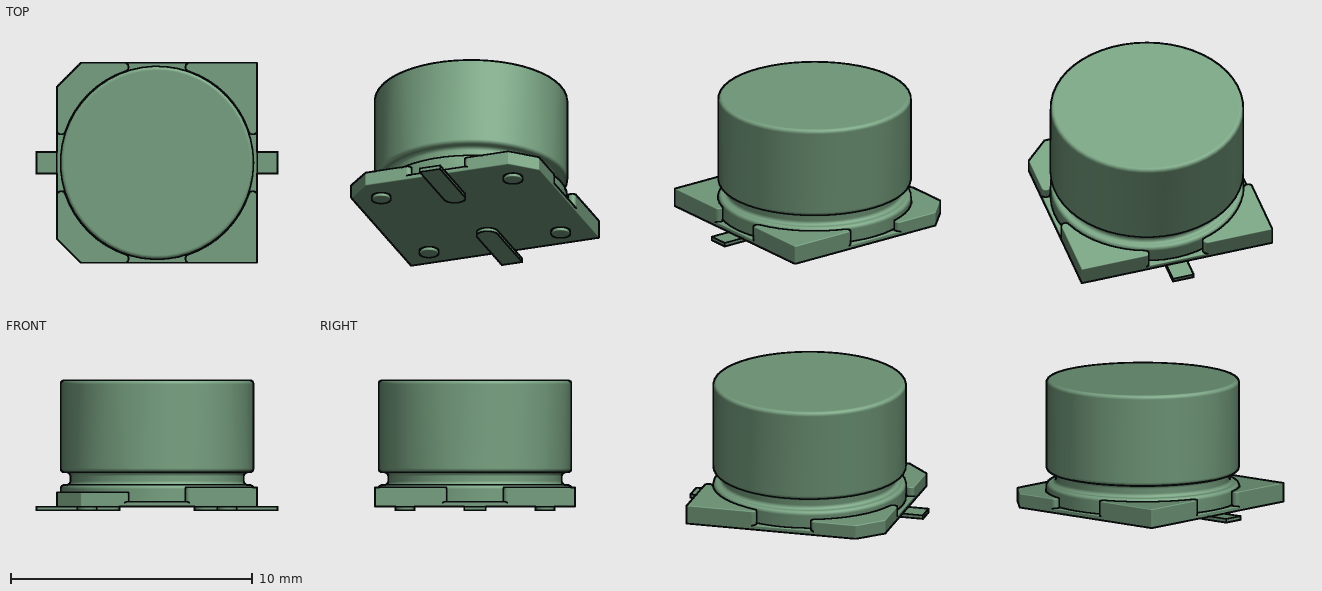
import cadquery as cq

lead_span = 10.0
base_width = 8.3
total_height = 5.4

standoff = 0.16
lead_width = 0.9
lead_inner_end = 1.55
foot_diameter = 0.8
foot_offset = 2.9
foot_edge_radius = 0.03

plate_top = 0.36
low_pad_top = 0.76
high_pad_top = 0.96
corner_cut = 1.0
base_edge_radius = 0.04
pad_gap = 2.36
pad_end_radius = 0.17
pad_tip_radius = 0.15
pad_bore_clearance = 0.02

can_radius = 4.0
neck_radius = 3.6
neck_center_z = 1.32
neck_half_height = 0.1
bend_radius = 0.16


def base_block(top):
    """Square block with the two -X corners cut off and all but its top edges rounded."""
    block = cq.Workplane("XY").workplane(offset=standoff).rect(base_width, base_width)
    block = block.extrude(top - standoff)
    block = block.edges("|Z and <X").chamfer(corner_cut)
    return block.edges("|Z or <Z").fillet(base_edge_radius)


def round_top_edges(body):
    """Round the outline of the highest flat face of a base part."""
    return body.faces(">Z").edges().fillet(base_edge_radius)


def corner_pad(x_side, y_side, top):
    """Corner of the base, bored to clear the can, with rounded tips beside the gaps."""
    length = (base_width - pad_gap) / 2
    center = (base_width + pad_gap) / 4
    bore = cq.Workplane("XY").circle(can_radius + pad_bore_clearance).extrude(total_height)
    zone = (
        cq.Workplane("XY")
        .workplane(offset=standoff)
        .center(x_side * center, y_side * center)
        .rect(length, length)
        .extrude(top - standoff)
        .cut(bore)
    )
    gap_side_x = "<X" if x_side > 0 else ">X"
    gap_side_y = "<Y" if y_side > 0 else ">Y"
    outer_x = ">X" if x_side > 0 else "<X"
    outer_y = ">Y" if y_side > 0 else "<Y"
    pad_ends = ((gap_side_x, outer_y, gap_side_y), (gap_side_y, outer_x, gap_side_x))
    for gap_side, outer, inner in pad_ends:
        zone = zone.faces(gap_side).edges("|Z").edges(outer).fillet(pad_end_radius)
        zone = zone.faces(gap_side).edges("|Z").edges(inner).fillet(pad_tip_radius)
    return round_top_edges(base_block(top).intersect(zone))


def can():
    """Revolved can with a rolled neck and a rounded top rim."""
    neck_low = neck_center_z - neck_half_height
    neck_high = neck_center_z + neck_half_height
    groove_low = neck_low - bend_radius
    groove_high = neck_high + bend_radius
    lip_radius = can_radius - bend_radius
    throat_radius = neck_radius + bend_radius
    diagonal = bend_radius * 0.5 ** 0.5
    profile = (
        cq.Workplane("XZ")
        .moveTo(0, standoff)
        .lineTo(can_radius, standoff)
        .lineTo(can_radius, groove_low - bend_radius)
        .threePointArc(
            (lip_radius + diagonal, groove_low - bend_radius + diagonal), (lip_radius, groove_low)
        )
        .lineTo(throat_radius, groove_low)
        .threePointArc((throat_radius - diagonal, neck_low - diagonal), (neck_radius, neck_low))
        .lineTo(neck_radius, neck_high)
        .threePointArc((throat_radius - diagonal, neck_high + diagonal), (throat_radius, groove_high))
        .lineTo(lip_radius, groove_high)
        .threePointArc(
            (lip_radius + diagonal, groove_high + bend_radius - diagonal),
            (can_radius, groove_high + bend_radius),
        )
        .lineTo(can_radius, total_height)
        .lineTo(0, total_height)
        .close()
    )
    return profile.revolve(360, (0, 0), (0, 1)).faces(">Z").edges().fillet(bend_radius)


def lead(x_side):
    """Flat lead with a semicircular inner end."""
    round_center = lead_inner_end + lead_width / 2
    length = lead_span / 2 - round_center
    strip = cq.Workplane("XY").center(x_side * (round_center + length / 2), 0)
    strip = strip.rect(length, lead_width).extrude(standoff)
    round_end = cq.Workplane("XY").center(x_side * round_center, 0)
    return strip.union(round_end.circle(lead_width / 2).extrude(standoff))


feet = (
    cq.Workplane("XY")
    .rect(2 * foot_offset, 2 * foot_offset, forConstruction=True)
    .vertices()
    .circle(foot_diameter / 2)
    .extrude(standoff)
    .faces("<Z or >Z")
    .edges()
    .fillet(foot_edge_radius)
)

result = round_top_edges(base_block(plate_top)).union(can()).union(feet)
for side in (-1, 1):
    pad_top = high_pad_top if side > 0 else low_pad_top
    result = result.union(lead(side))
    for y_side in (-1, 1):
        result = result.union(corner_pad(side, y_side, pad_top))
result = cq.Workplane("XY").newObject([result.solids().val()])